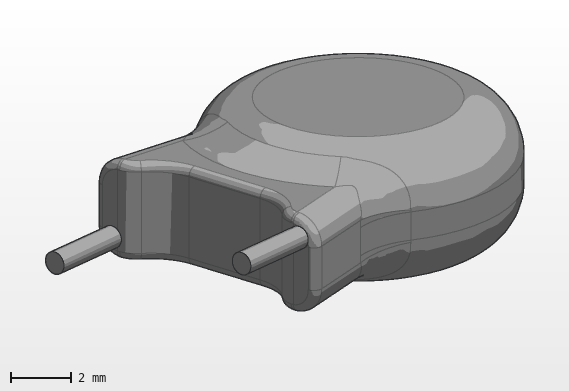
import cadquery as cq
import math

overall_length = 16.5

disc_diameter = 11.0
disc_radius = disc_diameter / 2
disc_thickness = 5.0
disc_edge_radius = 2.0

neck_thickness = 3.5
neck_end_y = -8.0
neck_end_half_width = 4.75
neck_taper_angle = 10.0
neck_corner_radius = 0.99
neck_rim_radius = 0.3
neck_blend_radius = 3.0
rim_margin = 0.16

recess_depth = 1.0
recess_flat_half_width = 1.52
recess_inner_radius = 2.0
recess_outer_radius = 1.0

lead_radius = 0.4
lead_half_pitch = 4.0
lead_offset_z = 1.0
lead_end_y = disc_radius - overall_length
lead_embedment = 0.99


def make_disc():
    disc = cq.Workplane("XY").circle(disc_radius).extrude(disc_thickness / 2, both=True)
    return disc.faces("|Z").edges().fillet(disc_edge_radius)


def neck_outline():
    """Tapered neck from the disc centre to a recessed end, in the XY plane."""
    root_half_width = neck_end_half_width + neck_end_y * math.tan(math.radians(neck_taper_angle))
    recess_y = neck_end_y + recess_depth

    radius_sum = recess_inner_radius + recess_outer_radius
    turn = math.acos(1 - recess_depth / radius_sum)
    arc_meet_x = recess_flat_half_width + recess_inner_radius * math.sin(turn)
    arc_meet_y = recess_y - recess_inner_radius * (1 - math.cos(turn))
    foot_x = recess_flat_half_width + radius_sum * math.sin(turn)

    inner_mid_x = recess_flat_half_width + recess_inner_radius * math.sin(turn / 2)
    inner_mid_y = recess_y - recess_inner_radius * (1 - math.cos(turn / 2))
    outer_mid_x = foot_x - recess_outer_radius * math.sin(turn / 2)
    outer_mid_y = neck_end_y + recess_outer_radius * (1 - math.cos(turn / 2))

    return (
        cq.Workplane("XY")
        .workplane(offset=-neck_thickness / 2)
        .moveTo(-root_half_width, 0)
        .lineTo(-neck_end_half_width, neck_end_y)
        .lineTo(-foot_x, neck_end_y)
        .threePointArc((-outer_mid_x, outer_mid_y), (-arc_meet_x, arc_meet_y))
        .threePointArc((-inner_mid_x, inner_mid_y), (-recess_flat_half_width, recess_y))
        .lineTo(recess_flat_half_width, recess_y)
        .threePointArc((inner_mid_x, inner_mid_y), (arc_meet_x, arc_meet_y))
        .threePointArc((outer_mid_x, outer_mid_y), (foot_x, neck_end_y))
        .lineTo(neck_end_half_width, neck_end_y)
        .lineTo(root_half_width, 0)
        .close()
    )


def make_neck():
    neck = neck_outline().extrude(neck_thickness)
    outer_sides = neck.faces("|Z").edges(cq.selectors.LengthNthSelector(-1))
    neck = outer_sides.fillet(neck_corner_radius)

    recess_zone = cq.selectors.BoxSelector(
        (-neck_end_half_width, neck_end_y - rim_margin, -neck_thickness),
        (neck_end_half_width, neck_end_y + recess_depth + rim_margin, neck_thickness),
    )
    end_edges = neck.edges(recess_zone)
    rim = end_edges.edges("not(|Z)").add(end_edges.edges("<X or >X"))
    return rim.fillet(neck_rim_radius)


def blend_neck_to_disc(disc, neck):
    """Join the two bodies and round the whole seam where the neck leaves the disc."""
    seam_zone = cq.selectors.BoxSelector(
        (-disc_radius, -disc_radius, -neck_thickness),
        (disc_radius, -disc_radius / 2, neck_thickness),
    )
    return disc.union(neck).edges(seam_zone).fillet(neck_blend_radius)


def make_lead(side):
    lead_length = neck_end_y + lead_embedment - lead_end_y
    return (
        cq.Workplane("XZ", origin=(side * lead_half_pitch, lead_end_y, side * lead_offset_z))
        .circle(lead_radius)
        .extrude(-lead_length)
    )


result = blend_neck_to_disc(make_disc(), make_neck())
for side in (-1, 1):
    result = result.union(make_lead(side))